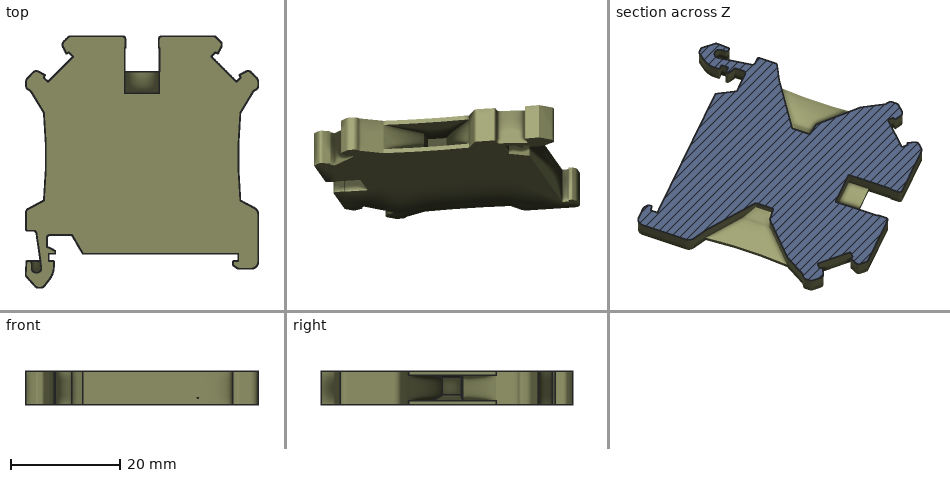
import cadquery as cq
import math


overall_width = 42.55
height = 46.0
thickness = 6.2
half_width = 21.25
wall = 0.8

notch_half_width = 3.17
notch_lip = 0.15
notch_lip_y = 43.87
notch_floor_y = 35.6
notch_ledge_y = 39.5
notch_corner_radius = 0.55

waist_half_width = 18.0
waist_bow = 0.35
waist_top_y = 31.95
waist_bottom_y = 15.95
waist_middle_y = (waist_top_y + waist_bottom_y) / 2

seat_top = (12.65, 42.25)
seat_length = 6.5
seat_depth = 1.05
barb_run, barb_rise = 0.45, -0.25
head_tip_radius = 0.8

shoulder_y = 14.2
rail_y = 6.2
rail_lip_y = 4.9
rail_half_width = 17.55

foot_bottom_y = 3.45
foot_tip_x = 16.6
foot_radius = 1.35

latch_left_x = half_width - overall_width
latch_nose_x = -16.1
slot_left_x = -20.2
slot_right_x = -18.3
slot_bottom_y = 2.75
slot_radius = 0.85
slot_lip_radius = 0.55

funnel_throat_depth = 6.58
funnel_end_depth = 9.0
end_top_y, end_bottom_y = 25.55, 22.15
throat_top_y = 25.85
throat_bottom_y = waist_bottom_y + (end_bottom_y - waist_bottom_y) * funnel_throat_depth / funnel_end_depth
end_bottom_z, end_top_z = 1.85, 5.05


def rounded_path(sketch, start, corners, end):
    """Draw from start to end, rounding each (x, y, radius) corner with a tangent arc."""
    previous = start
    for index, (x, y, radius) in enumerate(corners):
        corner = cq.Vector(x, y)
        following = corners[index + 1] if index + 1 < len(corners) else end
        back = (cq.Vector(*previous[:2]) - corner).normalized()
        ahead = (cq.Vector(*following[:2]) - corner).normalized()
        previous = (x, y)
        if radius == 0:
            sketch = sketch.lineTo(x, y)
            continue
        half_angle = back.getAngle(ahead) / 2
        tangent = radius / math.tan(half_angle)
        middle_distance = radius / math.sin(half_angle) - radius
        arc_start = corner + back * tangent
        arc_middle = corner + (back + ahead).normalized() * middle_distance
        arc_end = corner + ahead * tangent
        sketch = sketch.lineTo(arc_start.x, arc_start.y)
        sketch = sketch.threePointArc((arc_middle.x, arc_middle.y), (arc_end.x, arc_end.y))
    return sketch.lineTo(*end)


def mirrored(corners):
    """Corners reflected in X = 0, in reverse order so the outline keeps its direction."""
    return [(-x, y, radius) for x, y, radius in reversed(corners)]


def right_upper_corners():
    """Corners from the notch floor round the marker seat to the neck above the right waist."""
    diagonal = math.sqrt(0.5)
    run = seat_length * diagonal
    depth = seat_depth * diagonal
    seat_x, seat_y = seat_top
    low_x, low_y = seat_x + run, seat_y - run
    wall_x, wall_y = seat_x + depth, seat_y + depth
    low_wall_x, low_wall_y = low_x + depth, low_y + depth
    lip_x = notch_half_width - notch_lip
    return [
        (notch_half_width, notch_floor_y, 0),
        (notch_half_width, notch_lip_y, 0),
        (lip_x, notch_lip_y, 0),
        (lip_x, height, notch_corner_radius),
        (13.35, height, 0.45),
        (14.75, 44.55, head_tip_radius),
        (wall_x + barb_run, wall_y + barb_rise, 0),
        (wall_x, wall_y, 0),
        (seat_x, seat_y, 0),
        (low_x, low_y, 0),
        (low_wall_x, low_wall_y, 0),
        (low_wall_x + barb_rise, low_wall_y + barb_run, 0),
        (19.5, 39.85, head_tip_radius),
        (half_width, 38.05, 1.15),
        (half_width, 36.45, 0.85),
        (20.37, 35.95, 0.7),
    ]


def bottom_corners():
    """Corners from below the right waist, along foot, rail edge and latch, to the left waist."""
    foot = [
        (half_width, shoulder_y, 1.4),
        (half_width, foot_bottom_y, foot_radius),
        (17.48, foot_bottom_y, 1.15),
        (foot_tip_x, 4.15, 0.25),
        (foot_tip_x, rail_lip_y, 0.28),
        (rail_half_width, rail_lip_y, 0),
        (rail_half_width, rail_y, 0),
    ]
    rail_edge = [
        (-10.85, rail_y, 0),
        (-12.85, 9.6, 0),
        (-17.4, 9.6, 0.45),
    ]
    latch = [
        (-17.4, 7.45, 0),
        (-16.9, 7.3, 0),
        (-15.85, 6.7, 0.15),
        (-15.85, rail_y, 0),
        (-17.05, rail_y, 0),
        (-17.05, rail_lip_y, 0),
        (latch_nose_x, rail_lip_y, 0.25),
        (latch_nose_x, 2.58, 4.15),
        (-18.1, 0, 0.65),
        (-19.3, 0, 0.65),
        (latch_left_x, 2.15, 0),
        (latch_left_x, 2.8, 0),
        (-21.15, rail_lip_y, 0.25),
        (slot_left_x, rail_lip_y, slot_lip_radius),
        (slot_left_x, slot_bottom_y, slot_radius),
        (slot_right_x, slot_bottom_y, slot_radius),
        (-19.4, 10.4, 0.45),
    ]
    left_shoulder = [
        (-half_width, 10.4, 0.3),
        (-half_width, shoulder_y, 0.7),
    ]
    return foot + rail_edge + latch + left_shoulder


def plate():
    """The housing outline, extruded to full thickness."""
    upper = right_upper_corners()
    left_waist_top = (-waist_half_width, waist_top_y)
    right_waist_top = (waist_half_width, waist_top_y)
    left_waist_bottom = (-waist_half_width, waist_bottom_y)
    right_waist_bottom = (waist_half_width, waist_bottom_y)
    bowed_x = waist_half_width - waist_bow
    outline = cq.Workplane("XY").moveTo(*left_waist_top)
    outline = rounded_path(outline, left_waist_top, mirrored(upper) + upper, right_waist_top)
    outline = outline.threePointArc((bowed_x, waist_middle_y), right_waist_bottom)
    outline = rounded_path(outline, right_waist_bottom, bottom_corners(), left_waist_bottom)
    outline = outline.threePointArc((-bowed_x, waist_middle_y), left_waist_top)
    return outline.close().extrude(thickness)


def floor_pad(x_min, x_max, y_min, y_max):
    """A thin floor lying on the bottom face, as thick as the side walls."""
    pad = cq.Workplane("XY").box(x_max - x_min, y_max - y_min, wall, centered=False)
    return pad.translate((x_min, y_min, 0))


def funnel_section(depth, y_min, y_max, z_min, z_max):
    """A rectangle facing X at the given depth inside the left waist."""
    x = -waist_half_width + depth
    corners = [(x, y_min, z_min), (x, y_max, z_min), (x, y_max, z_max), (x, y_min, z_max)]
    return cq.Wire.makePolygon([cq.Vector(*corner) for corner in corners], close=True)


def wire_funnel():
    """Left wire entry: tapers in Y to the throat, then on all four sides to its end."""
    mouth = funnel_section(0, waist_bottom_y, waist_top_y, wall, thickness - wall)
    throat = funnel_section(
        funnel_throat_depth, throat_bottom_y, throat_top_y, wall, thickness - wall
    )
    end = funnel_section(funnel_end_depth, end_bottom_y, end_top_y, end_bottom_z, end_top_z)
    return cq.Workplane(cq.Solid.makeLoft([mouth, throat, end], True))


body = plate()
notch_ledge = floor_pad(-notch_half_width, notch_half_width, notch_floor_y, notch_ledge_y)
slot_floor = floor_pad(slot_left_x - slot_lip_radius, slot_right_x, slot_bottom_y, rail_lip_y)
left_funnel = wire_funnel()
right_funnel = left_funnel.mirror("YZ")

result = body.union(notch_ledge).union(slot_floor).cut(left_funnel).cut(right_funnel)